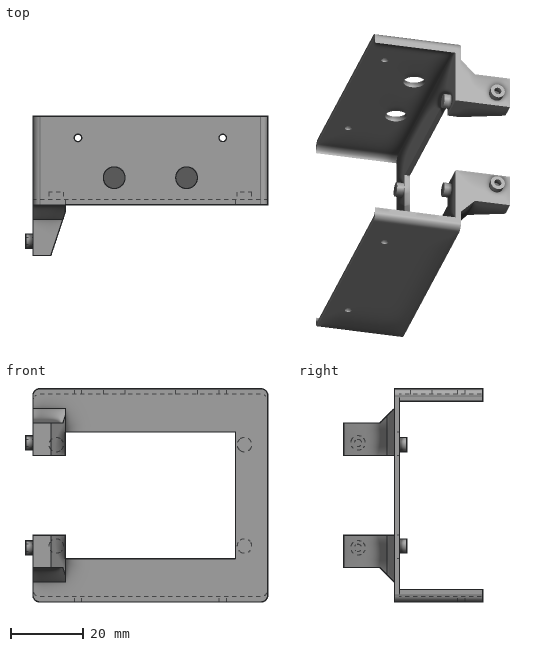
import cadquery as cq

width = 65.0
height = 59.0
depth = 24.5
sheet = 1.5
corner_radius = 2.0
lip_radius = 2.0

frame_width = 9.0
window_height = 35.0

screw_hole_diameter = 2.0
screw_hole_spacing = 40.0
screw_hole_y = 18.5
large_hole_diameter = 6.0
large_hole_spacing = 20.0
large_hole_y = 7.5

arm_gap = 22.0
arm_reach = 14.0
arm_height = 9.0
arm_tip_width = 5.0
taper_start = 2.0
gusset = 4.0

pin_diameter = 4.0
pin_length = 2.0
arm_pin_y = -10.0
arm_pin_z = 14.5
pin_bore_diameter = 2.0
rear_pin_z = 14.0
rear_pin_inset = 6.5

half_height = height / 2
flange_inner_z = half_height - sheet
lip_end_z = flange_inner_z - lip_radius
arm_inner_z = arm_gap / 2
arm_outer_z = arm_inner_z + arm_height
center_x = width / 2


def make_shell():
    """Front plate and both flanges, whose side edges curl into thin concave lips."""
    body = (
        cq.Workplane("XY")
        .box(width, depth, height, centered=(False, False, True))
        .edges("|Y")
        .fillet(corner_radius)
    )
    hollow = (
        cq.Workplane("XZ", origin=(0, depth, 0))
        .moveTo(0, -lip_end_z)
        .radiusArc((lip_radius, -flange_inner_z), -lip_radius)
        .lineTo(width - lip_radius, -flange_inner_z)
        .radiusArc((width, -lip_end_z), -lip_radius)
        .lineTo(width, lip_end_z)
        .radiusArc((width - lip_radius, flange_inner_z), -lip_radius)
        .lineTo(lip_radius, flange_inner_z)
        .radiusArc((0, lip_end_z), -lip_radius)
        .close()
        .extrude(depth - sheet)
    )
    window = cq.Workplane("XY").box(
        width - frame_width, sheet, window_height, centered=(False, False, True)
    )
    return body.cut(hollow).cut(window)


def flange_holes(diameter, spacing, y, bottom_z):
    """Pair of vertical cutters from bottom_z up through the top flange."""
    return (
        cq.Workplane("XY", origin=(center_x, y, bottom_z))
        .pushPoints([(-spacing / 2, 0), (spacing / 2, 0)])
        .circle(diameter / 2)
        .extrude(half_height - bottom_z)
    )


def make_upper_arm():
    """Tapered arm with a sloped gusset and a bored pin on its left face."""
    side = (
        cq.Workplane("YZ")
        .moveTo(sheet, arm_inner_z)
        .lineTo(sheet, arm_outer_z + gusset)
        .lineTo(0, arm_outer_z + gusset)
        .lineTo(-gusset, arm_outer_z)
        .lineTo(-arm_reach, arm_outer_z)
        .lineTo(-arm_reach, arm_inner_z)
        .close()
        .extrude(frame_width)
    )
    plan = (
        cq.Workplane("XY")
        .moveTo(0, sheet)
        .lineTo(frame_width, sheet)
        .lineTo(frame_width, -taper_start)
        .lineTo(arm_tip_width, -arm_reach)
        .lineTo(0, -arm_reach)
        .close()
        .extrude(half_height)
    )
    pin = (
        cq.Workplane("YZ", origin=(-pin_length, arm_pin_y, arm_pin_z))
        .circle(pin_diameter / 2)
        .circle(pin_bore_diameter / 2)
        .extrude(pin_length)
    )
    return side.intersect(plan).union(pin)


def make_rear_pins():
    """Four pins on the back of the plate."""
    columns = (rear_pin_inset, width - rear_pin_inset)
    points = [(x, z) for x in columns for z in (-rear_pin_z, rear_pin_z)]
    return (
        cq.Workplane("XZ", origin=(0, sheet, 0))
        .pushPoints(points)
        .circle(pin_diameter / 2)
        .extrude(-pin_length)
    )


upper_arm = make_upper_arm()
result = (
    make_shell()
    .cut(flange_holes(screw_hole_diameter, screw_hole_spacing, screw_hole_y, -half_height))
    .cut(flange_holes(large_hole_diameter, large_hole_spacing, large_hole_y, 0))
    .union(upper_arm)
    .union(upper_arm.mirror("XY"))
    .union(make_rear_pins())
)